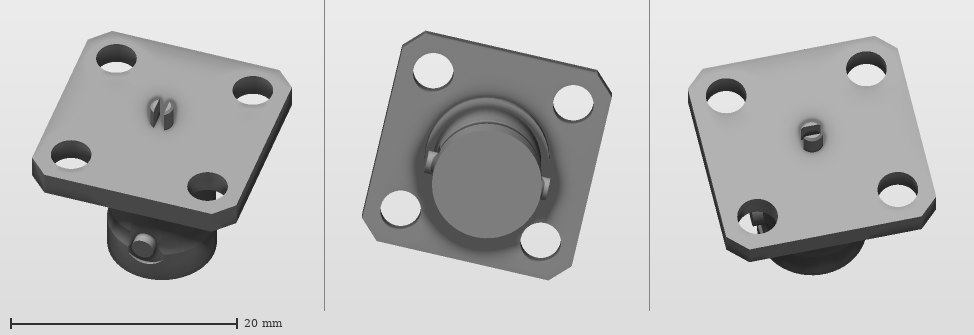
import cadquery as cq

plate_side = 19.0
plate_thickness = 2.2
corner_chamfer = 1.71
hole_diameter = 3.6
hole_spacing = 12.7

body_depth = 14.8
collar_diameter = 11.02
collar_height = 1.55
upper_barrel_diameter = 9.55
lower_barrel_diameter = 9.7

groove_height = 4.24
groove_floor_diameter = 9.4
groove_upper_reach = 0.93
groove_lower_reach = 1.08
lug_diameter = 2.0
lug_span = collar_diameter
spotface_diameter = 4.79
spotface_flat_span = 9.12

pin_diameter = 2.01
pin_height = 2.13
pin_chamfer = 0.2
slot_width = 0.95

barrel_bottom = -body_depth
groove_z = barrel_bottom + groove_height
collar_bottom = -plate_thickness - collar_height


def mounting_plate():
    plate = cq.Workplane("XY").rect(plate_side, plate_side).extrude(-plate_thickness)
    plate = plate.edges("|Z").chamfer(corner_chamfer)
    holes = (
        cq.Workplane("XY")
        .rect(hole_spacing, hole_spacing, forConstruction=True)
        .vertices()
        .circle(hole_diameter / 2)
        .extrude(-plate_thickness)
    )
    return plate.cut(holes)


def groove_arc_radius(depth, reach):
    """Radius of an arc that starts parallel to the axis and moves out by depth over reach."""
    return (reach**2 + depth**2) / (2 * depth)


def grooved_body():
    """Collar and barrel turned from one profile; two arcs meet tangentially at the groove floor."""
    collar_radius = collar_diameter / 2
    upper_radius = upper_barrel_diameter / 2
    lower_radius = lower_barrel_diameter / 2
    floor_radius = groove_floor_diameter / 2
    profile = (
        cq.Workplane("XZ")
        .moveTo(0, barrel_bottom)
        .lineTo(lower_radius, barrel_bottom)
        .lineTo(lower_radius, groove_z - groove_lower_reach)
        .radiusArc((floor_radius, groove_z),
                   groove_arc_radius(lower_radius - floor_radius, groove_lower_reach))
        .radiusArc((upper_radius, groove_z + groove_upper_reach),
                   groove_arc_radius(upper_radius - floor_radius, groove_upper_reach))
        .lineTo(upper_radius, collar_bottom)
        .lineTo(collar_radius, collar_bottom)
        .lineTo(collar_radius, -plate_thickness)
        .lineTo(0, -plate_thickness)
        .close()
    )
    return profile.revolve(360, (0, 0, 0), (0, 1, 0))


def cylinder_along_y(diameter, y_start, y_end):
    """Cylinder at groove level running from y_start to y_end."""
    return (
        cq.Workplane("XZ", origin=(0, y_start, groove_z))
        .circle(diameter / 2)
        .extrude(y_start - y_end)
    )


def contact_pin():
    pin = cq.Workplane("XY").circle(pin_diameter / 2).extrude(pin_height)
    pin = pin.faces(">Z").chamfer(pin_chamfer)
    slot = cq.Workplane("XY").rect(slot_width, pin_diameter).extrude(pin_height)
    return pin.cut(slot)


body = grooved_body()
for side in (-1, 1):
    spotface = cylinder_along_y(
        spotface_diameter, side * spotface_flat_span / 2, side * collar_diameter / 2
    )
    body = body.cut(spotface)

lugs = cylinder_along_y(lug_diameter, -lug_span / 2, lug_span / 2)

result = mounting_plate().union(body).union(lugs).union(contact_pin())